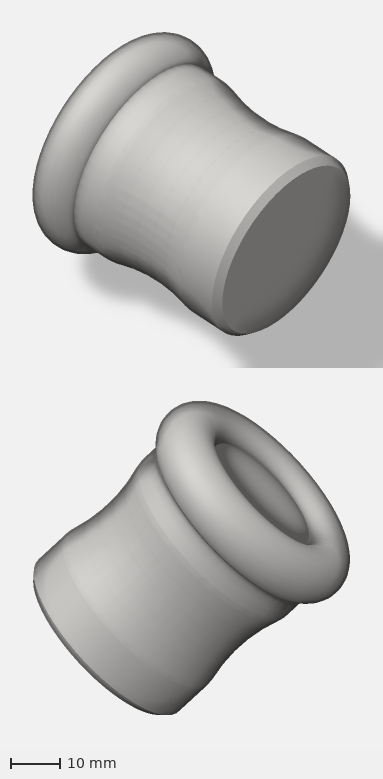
import cadquery as cq

total_length = 50.0
ring_outer_radius = 25.0
ring_tube_radius = 6.0
collar_radius = 43.1 / 2
spigot_radius = 42.0 / 2
waist_radius = 19.7
body_face_x = 3.6
collar_end_x = 17.8
spigot_start_x = 39.3
waist_blend_radius = 4.5
end_chamfer_length = 1.6
end_chamfer_depth = 1.4
selection_margin = 0.5

ring_center_radius = ring_outer_radius - ring_tube_radius
ring_center_x = ring_tube_radius
waist_x = (collar_end_x + spigot_start_x) / 2


def make_ring():
    """Round-section ring around the X axis."""
    return (
        cq.Workplane("XY")
        .center(ring_center_x, ring_center_radius)
        .circle(ring_tube_radius)
        .revolve(360, (0, -ring_center_radius), (1, -ring_center_radius))
    )


def make_blank():
    """Solid turned body with a concave waist, before the ring seat is cut."""
    return (
        cq.Workplane("XY")
        .moveTo(body_face_x, 0)
        .lineTo(body_face_x, collar_radius)
        .lineTo(collar_end_x, collar_radius)
        .threePointArc((waist_x, waist_radius), (spigot_start_x, spigot_radius))
        .lineTo(total_length - end_chamfer_length, spigot_radius)
        .lineTo(total_length, spigot_radius - end_chamfer_depth)
        .lineTo(total_length, 0)
        .close()
        .revolve(360, (0, 0), (1, 0))
    )


def blend_waist(blank):
    """Round the two edges where the waist meets the collar and the spigot."""
    waist_edges = cq.selectors.BoxSelector(
        (collar_end_x - selection_margin, -ring_outer_radius, -ring_outer_radius),
        (spigot_start_x + selection_margin, ring_outer_radius, ring_outer_radius),
    )
    return blank.edges("%CIRCLE").edges(waist_edges).fillet(waist_blend_radius)


def make_body(ring):
    """Turned body whose front is hollowed to seat the ring."""
    return blend_waist(make_blank()).cut(ring)


ring = make_ring()
body = make_body(ring)

result = cq.Compound.makeCompound([ring.val(), *body.solids().vals()])